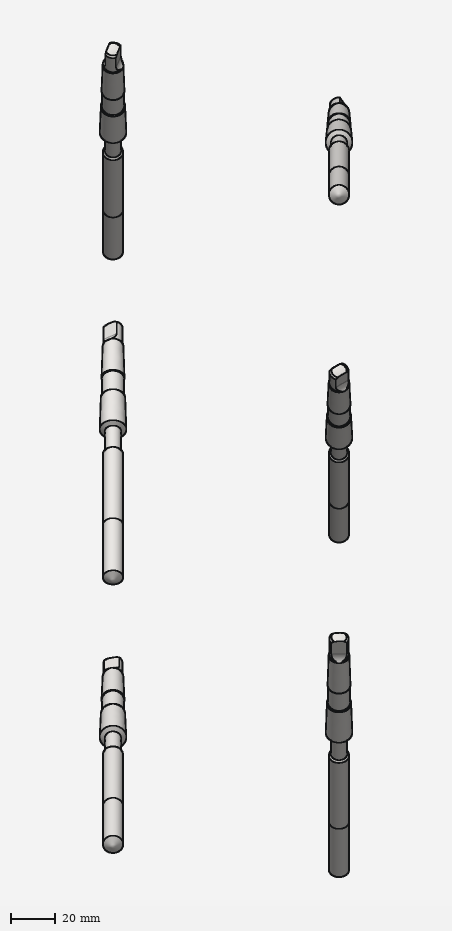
import cadquery as cq
import math

total_length = 162.0
tip_height = 2.8
cutting_length = 35.8
drill_top = 81.8
collar_bottom = 95.3
collar_chamfer_height = 1.1
collar_top = 117.0
relief_chamfer_height = 0.5
relief_top = 128.6
tang_base = 149.7
tang_step_height = 0.5

drill_diameter = 9.2
neck_diameter = 7.5
collar_large_diameter = 12.2
relief_diameter = 10.0
tang_diameter = 8.7

taper_rate = 1 / 20

drill_top_chamfer_height = 1.0
tang_end_chamfer_radial = 1.0
tang_end_chamfer_height = 0.8
tang_dome_rise = 0.5

tang_thickness = 5.2
flat_runout_radius = 5.0
flat_end_height = 153.3
flat_direction = 45.0


def revolve_profile(points):
    """Turn a closed (radius, height) outline about the Z axis."""
    return cq.Workplane("XZ").polyline(points).close().revolve(360, (0, 0), (0, 1))


def taper_radius(height):
    """Radius of the shank cone at a given height."""
    rise = height - (collar_bottom + collar_chamfer_height)
    return (collar_large_diameter - taper_rate * rise) / 2


def make_cutting_end():
    """Solid drill tip: a cone below a plain cylinder."""
    radius = drill_diameter / 2
    return revolve_profile([
        (0, 0),
        (radius, tip_height),
        (radius, cutting_length),
        (0, cutting_length),
    ])


def make_flat_cutter():
    """Material outside one tang flat, ending in a concave runout arc."""
    flat = tang_thickness / 2
    reach = flat + flat_runout_radius
    arc_drop = flat_runout_radius * math.sin(math.radians(45))
    arc_middle = (reach - arc_drop, flat_end_height - arc_drop)
    return (
        cq.Workplane("XZ")
        .moveTo(flat, total_length)
        .lineTo(flat, flat_end_height)
        .threePointArc(arc_middle, (reach, flat_end_height - flat_runout_radius))
        .lineTo(reach, total_length)
        .close()
        .extrude(tang_diameter, both=True)
    )


def make_shank():
    """Upper drill body, neck, tapered collar, relief, taper and domed, flatted tang."""
    drill_radius = drill_diameter / 2
    neck_radius = neck_diameter / 2
    relief_radius = relief_diameter / 2
    tang_radius = tang_diameter / 2
    collar_edge = collar_top - relief_chamfer_height
    taper_edge = relief_top + relief_chamfer_height
    taper_end = tang_base - tang_step_height
    rim_radius = tang_radius - tang_end_chamfer_radial
    rim_height = total_length - tang_dome_rise
    dome_radius = (rim_radius ** 2 + tang_dome_rise ** 2) / (2 * tang_dome_rise)
    dome_middle_radius = rim_radius / 2
    dome_center_height = total_length - dome_radius
    dome_middle_height = dome_center_height + math.sqrt(dome_radius ** 2 - dome_middle_radius ** 2)
    outline = [
        (0, cutting_length),
        (drill_radius, cutting_length),
        (drill_radius, drill_top - drill_top_chamfer_height),
        (neck_radius, drill_top),
        (neck_radius, collar_bottom),
        (collar_large_diameter / 2, collar_bottom + collar_chamfer_height),
        (taper_radius(collar_edge), collar_edge),
        (relief_radius, collar_top),
        (relief_radius, relief_top),
        (taper_radius(taper_edge), taper_edge),
        (taper_radius(taper_end), taper_end),
        (tang_radius, tang_base),
        (tang_radius, rim_height - tang_end_chamfer_height),
        (rim_radius, rim_height),
    ]
    shank = (
        cq.Workplane("XZ")
        .polyline(outline)
        .threePointArc((dome_middle_radius, dome_middle_height), (0, total_length))
        .close()
        .revolve(360, (0, 0), (0, 1))
    )

    for half_turn in (0, 180):
        cutter = make_flat_cutter().rotate((0, 0, 0), (0, 0, 1), flat_direction + half_turn)
        shank = shank.cut(cutter)
    return shank


cutting_end = make_cutting_end()
shank = make_shank()
result = cq.Compound.makeCompound([cutting_end.val(), shank.val()])